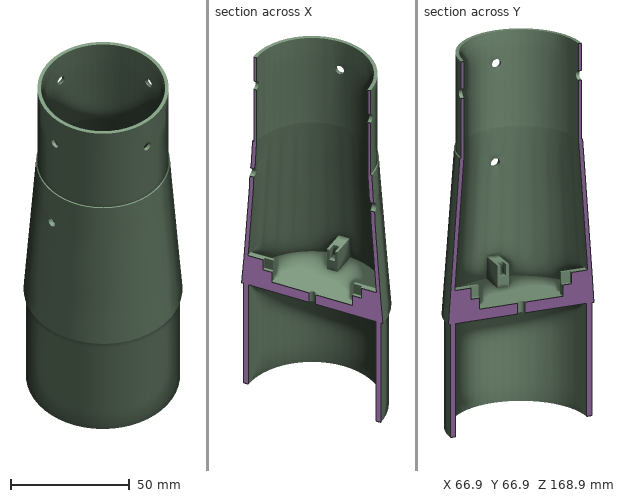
import cadquery as cq

total_height = 168.9
socket_top = 51.0
cone_top = 125.7
floor_thickness = 5.0
floor_top = socket_top + floor_thickness

socket_outer_dia = 64.9
socket_bore_dia = 59.8
cone_base_dia = 66.9
cone_tip_dia = 56.4
spigot_outer_dia = 55.2
spigot_bore_dia = 52.2
cone_wall = (cone_tip_dia - spigot_bore_dia) / 2
cone_bore_base_dia = cone_base_dia - 2 * cone_wall

screw_hole_dia = 4.0
spigot_hole_height = 154.4
cone_hole_height = 109.3
floor_hole_dia = 3.0

lug_count = 4
lug_width = 5.0
lug_height = 10.1
lug_inner_radius = 19.0
lug_outer_radius = cone_bore_base_dia / 2
slot_width = 2.7
slot_outer_radius = 23.0
slot_depth = lug_height / 2


def cylinder(diameter, bottom, top):
    return cq.Workplane("XY").workplane(offset=bottom).circle(diameter / 2).extrude(top - bottom)


def frustum(base_dia, tip_dia):
    """Cone running from the top of the socket to the foot of the spigot."""
    return (
        cq.Workplane("XY", origin=(0, 0, socket_top))
        .circle(base_dia / 2)
        .workplane(offset=cone_top - socket_top)
        .circle(tip_dia / 2)
        .loft(ruled=True)
    )


def cross_hole(plane, height):
    """Hole through both walls, running along the normal of the given plane."""
    return (
        cq.Workplane(plane, origin=(0, 0, height))
        .circle(screw_hole_dia / 2)
        .extrude(cone_base_dia / 2, both=True)
    )


def radial_block(outer_radius, width, bottom, height):
    """Block reaching outward along +X from the inner face of a lug."""
    return (
        cq.Workplane("XY")
        .box(outer_radius - lug_inner_radius, width, height, centered=(False, True, False))
        .translate((lug_inner_radius, 0, bottom))
    )


shell = cylinder(socket_outer_dia, 0, socket_top)
shell = shell.union(frustum(cone_base_dia, cone_tip_dia))
shell = shell.union(cylinder(spigot_outer_dia, cone_top, total_height))

cavity = frustum(cone_bore_base_dia, spigot_bore_dia).cut(cylinder(cone_base_dia, socket_top, floor_top))
shell = shell.cut(cylinder(socket_bore_dia, 0, socket_top))
shell = shell.cut(cavity)
shell = shell.cut(cylinder(spigot_bore_dia, cone_top, total_height))

lug = radial_block(lug_outer_radius, lug_width, floor_top, lug_height)
slot_bottom = floor_top + lug_height - slot_depth
lug = lug.cut(radial_block(slot_outer_radius, slot_width, slot_bottom, slot_depth))
for index in range(lug_count):
    shell = shell.union(lug.rotate((0, 0, 0), (0, 0, 1), index * 360 / lug_count))

shell = shell.cut(cross_hole("XZ", spigot_hole_height))
shell = shell.cut(cross_hole("YZ", spigot_hole_height))
shell = shell.cut(cross_hole("XZ", cone_hole_height))

result = shell.cut(cylinder(floor_hole_dia, socket_top, floor_top))